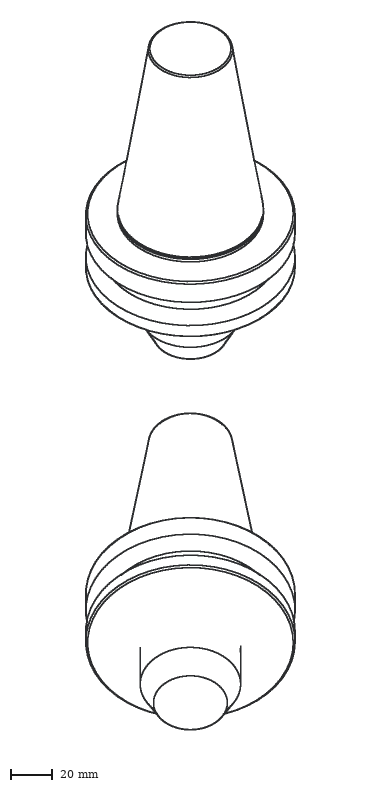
import cadquery as cq

total_height = 181.8
gauge_height = 80.0
flange_bottom = 42.0
flange_top = 76.9
groove_center = 57.0
nose_cone_height = 13.0

flange_radius = 50.0
groove_radius = 42.5
gauge_radius = 34.9
nose_radius = 24.0
nose_tip_radius = 17.6

taper_slope = 7 / 48
groove_floor_width = 7.0
groove_mouth_width = 14.7
flange_chamfer = 0.9
taper_end_chamfer = 0.7
nose_fillet = 2.5
relief_depth = 0.5
relief_top = gauge_height
relief_bottom = 78.5

taper_end_radius = gauge_radius - taper_slope * (total_height - gauge_height)


def turned_body():
    """Nose, flange and tapered shank revolved about Z."""
    profile = (
        cq.Workplane("XZ")
        .moveTo(0, 0)
        .lineTo(nose_tip_radius, 0)
        .lineTo(nose_radius, nose_cone_height)
        .lineTo(nose_radius, flange_bottom - nose_fillet)
        .radiusArc((nose_radius + nose_fillet, flange_bottom), nose_fillet)
        .lineTo(flange_radius - flange_chamfer, flange_bottom)
        .lineTo(flange_radius, flange_bottom + flange_chamfer)
        .lineTo(flange_radius, flange_top - flange_chamfer)
        .lineTo(flange_radius - flange_chamfer, flange_top)
        .lineTo(gauge_radius, flange_top)
        .lineTo(gauge_radius, gauge_height)
        .lineTo(taper_end_radius, total_height)
        .lineTo(0, total_height)
        .close()
    )
    body = profile.revolve(360, (0, 0, 0), (0, 1, 0))
    return body.faces(">Z").edges().chamfer(taper_end_chamfer)


def gripper_groove():
    """V-sided ring cut out of the flange rim."""
    half_floor = groove_floor_width / 2
    half_mouth = groove_mouth_width / 2
    return (
        cq.Workplane("XZ")
        .moveTo(groove_radius, groove_center - half_floor)
        .lineTo(flange_radius, groove_center - half_mouth)
        .lineTo(flange_radius, groove_center + half_mouth)
        .lineTo(groove_radius, groove_center + half_floor)
        .close()
        .revolve(360, (0, 0, 0), (0, 1, 0))
    )


def taper_relief():
    """Shallow undercut below the taper: sloped upper side, flat lower side."""
    return (
        cq.Workplane("XZ")
        .moveTo(gauge_radius, relief_top)
        .lineTo(gauge_radius - relief_depth, relief_bottom)
        .lineTo(gauge_radius, relief_bottom)
        .close()
        .revolve(360, (0, 0, 0), (0, 1, 0))
    )


result = turned_body().cut(gripper_groove()).cut(taper_relief())